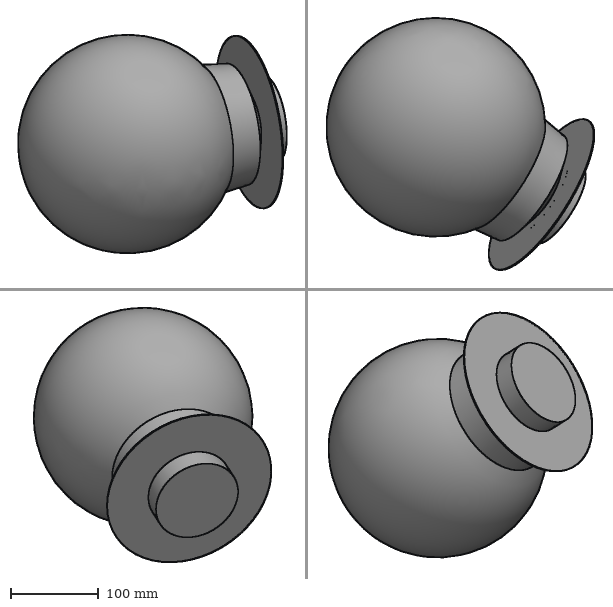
import cadquery as cq
import math

globe_radius = 125.0

collar_globe_radius = 75.0
collar_cone_radius = 70.5
collar_length = 35.0
cone_plate_radius = 37.5
cone_length = 15.0

plate_radius = 100.0
plate_thickness = 1.37
base_radius = 50.0
base_length = 25.0

globe_front_y = -globe_radius
collar_front_y = math.sqrt(globe_radius**2 - collar_globe_radius**2)
cone_front_y = collar_front_y + collar_length
plate_front_y = cone_front_y + cone_length
plate_back_y = plate_front_y + plate_thickness
base_back_y = plate_back_y + base_length


def half_profile():
    """Closed half outline in the XY plane, from the globe's front pole to the base."""
    return (
        cq.Workplane("XY")
        .moveTo(0, globe_front_y)
        .threePointArc((globe_radius, 0), (collar_globe_radius, collar_front_y))
        .lineTo(collar_cone_radius, cone_front_y)
        .lineTo(cone_plate_radius, plate_front_y)
        .lineTo(plate_radius, plate_front_y)
        .lineTo(plate_radius, plate_back_y)
        .lineTo(base_radius, plate_back_y)
        .lineTo(base_radius, base_back_y)
        .lineTo(0, base_back_y)
        .close()
    )


result = half_profile().revolve(360, (0, 0, 0), (0, 1, 0))